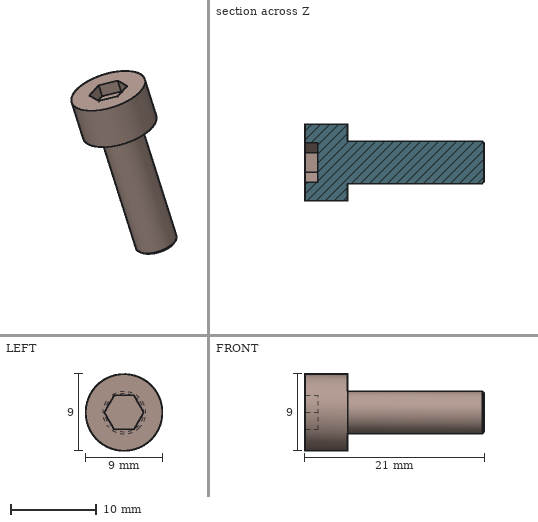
import cadquery as cq
import math

total_length = 21.0
head_diameter = 9.0
shank_diameter = 5.0
head_length = shank_diameter
tip_chamfer = 0.25
socket_across_flats = 4.0
socket_depth = 1.5

socket_across_corners = socket_across_flats / math.cos(math.pi / 6)

head = cq.Workplane("YZ").circle(head_diameter / 2).extrude(head_length)

shank = (
    cq.Workplane("YZ")
    .circle(shank_diameter / 2)
    .extrude(total_length)
    .faces(">X")
    .chamfer(tip_chamfer)
)

socket = cq.Workplane("YZ").polygon(6, socket_across_corners).extrude(socket_depth)

result = head.union(shank).cut(socket)